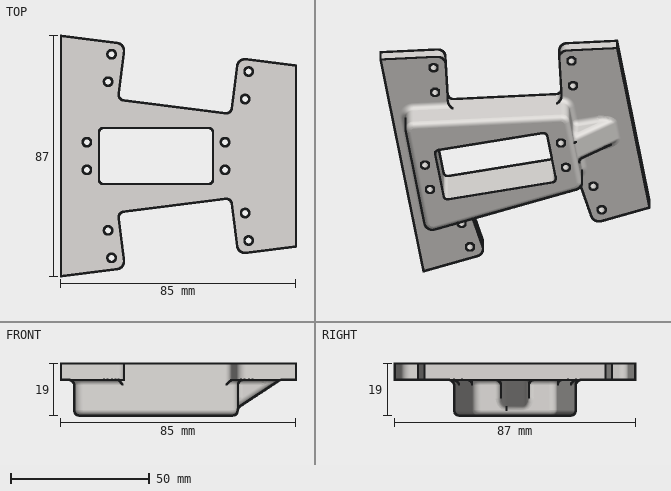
import cadquery as cq
import math

plate_left = -34.4
plate_right = 50.6
plate_half_width = 43.5
plate_thickness = 6.0
taper = 7.2
arm_corner_radius = 3.0

bay_length = 41.15
opening_width = 20.2
opening_corner_radius = 1.5
screw_spacing_long = 49.9
screw_spacing_short = 10.0
screw_diameter = 3.0

side_bay_x = 8.1
side_bay_y = 28.7
notch_half_width = 11.0
notch_corner_radius = 2.0

total_height = 19.0
pod_half_length = 29.6
pod_corner_radius = 3.0
soft_radius = 2.0

rib_toe_x = 44.9
rib_foot_depth = 10.1
rib_width = 10.0

underside = -plate_thickness
margin = 0.1
slope = math.tan(math.radians(taper))


def trapezoid(left, right, half_width_at):
    """Closed outline, symmetric about X, with sloping sides."""
    return cq.Workplane("XY").polyline([
        (left, half_width_at(left)),
        (right, half_width_at(right)),
        (right, -half_width_at(right)),
        (left, -half_width_at(left)),
    ]).close()


def plate_edge(x):
    return plate_half_width - slope * (x - plate_left)


def pod_flank(x):
    floor_at_bay = side_bay_y - notch_half_width / math.cos(math.radians(taper))
    return floor_at_bay - slope * (x - side_bay_x)


def make_pod():
    pod = trapezoid(-pod_half_length, pod_half_length, pod_flank).extrude(-total_height)
    pod = pod.edges("|Z").fillet(pod_corner_radius)
    return pod.faces("<Z").edges().fillet(soft_radius)


def make_rib():
    """Wedge with a rounded ridge, sunk into the pod and the plate so that they merge."""
    root_x = pod_half_length - soft_radius
    rib_slope = rib_foot_depth / (rib_toe_x - pod_half_length)
    root_z = underside - rib_slope * (rib_toe_x - root_x)
    top_z = underside + plate_thickness / 2
    top_x = rib_toe_x + (top_z - underside) / rib_slope
    rib = (
        cq.Workplane("XZ")
        .polyline([
            (root_x, top_z),
            (top_x, top_z),
            (root_x, root_z),
        ])
        .close()
        .extrude(rib_width / 2, both=True)
    )
    sloping_edges = cq.selectors.BoxSelector(
        (root_x + margin, -rib_width, root_z), (top_x, rib_width, top_z - margin))
    return rib.edges(sloping_edges).fillet(soft_radius)


def soften_junctions(body):
    """Cove every inner edge where the pod and the rib meet each other and the plate."""
    under_plate = cq.selectors.BoxSelector(
        (-pod_half_length - margin, -pod_flank(-pod_half_length), underside - margin),
        (rib_toe_x + margin, pod_flank(-pod_half_length), underside + margin))
    around_rib_root = cq.selectors.BoxSelector(
        (pod_half_length - margin, -rib_width / 2 - margin, -total_height + soft_radius + margin),
        (pod_half_length + margin, rib_width / 2 + margin, underside - margin))
    return body.edges(under_plate + around_rib_root).fillet(soft_radius)


def at_side_bay(shape, side):
    """Move a shape from the centre bay to a side bay; side is +1 or -1 for +Y or -Y."""
    turned = shape.rotate((0, 0, 0), (0, 0, 1), -side * taper)
    return turned.translate((side_bay_x, side * side_bay_y, 0))


def make_opening():
    opening = cq.Workplane("XY").rect(bay_length, opening_width).extrude(-total_height)
    return opening.edges("|Z").fillet(opening_corner_radius)


def make_screw_holes():
    return (
        cq.Workplane("XY")
        .rect(screw_spacing_long, screw_spacing_short, forConstruction=True)
        .vertices()
        .circle(screw_diameter / 2)
        .extrude(-total_height)
    )


def make_notch():
    """Notch open toward the plate edge on the +Y side, deep enough to trim the coves."""
    notch_length = 2 * plate_half_width
    notch = (
        cq.Workplane("XY")
        .center(0, notch_length / 2 - notch_half_width)
        .rect(bay_length, notch_length)
        .extrude(underside - soft_radius)
    )
    return notch.edges("|Z and <Y").fillet(notch_corner_radius)


def round_arm_tips(body):
    """Round the four plate corners left where the notches break the plate edges."""
    for side in (1, -1):
        inner_y = side * plate_edge(plate_right)
        outer_y = side * plate_half_width
        tips = cq.selectors.BoxSelector(
            (plate_left + margin, inner_y, -total_height), (plate_right - margin, outer_y, 0))
        body = body.edges("|Z").edges(tips).fillet(arm_corner_radius)
    return body


body = trapezoid(plate_left, plate_right, plate_edge).extrude(-plate_thickness)
body = body.union(make_pod()).union(make_rib())
body = soften_junctions(body)

notch = make_notch()
body = body.cut(at_side_bay(notch, 1)).cut(at_side_bay(notch.mirror("XZ"), -1))
body = round_arm_tips(body)

screw_holes = make_screw_holes()
body = body.cut(make_opening()).cut(screw_holes)
for side in (1, -1):
    body = body.cut(at_side_bay(screw_holes, side))

result = body